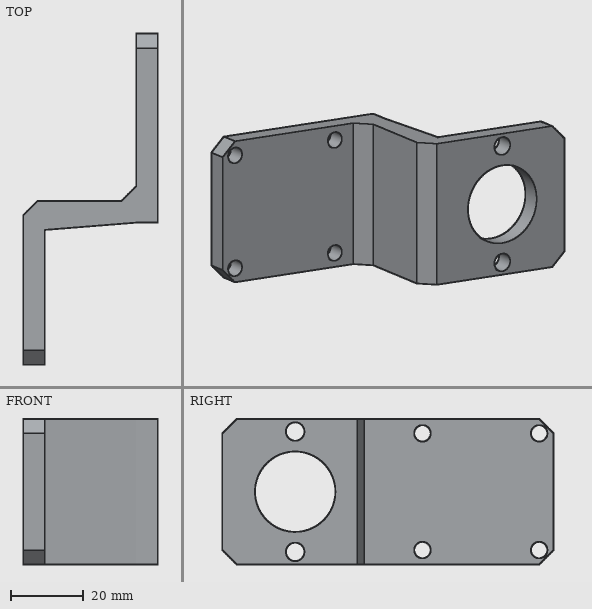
import cadquery as cq

width = 37.0
length = 91.0
height = 40.0

thickness = 6.0
chamfer = 4.0
rear_plate_length = 52.0
web_taper = 2.0

bore_diameter = 22.0
bore_y = 20.0
bore_screw_diameter = 5.0
bore_screw_spacing = 33.0

mount_hole_diameter = 4.5
mount_hole_spacing = 32.0
mount_hole_edge = 4.0

web_front_y = length - rear_plate_length
web_rear_y = web_front_y + thickness
rear_plate_x = width - thickness


def bracket_body():
    """Bent profile in plan, extruded to the full height."""
    return (
        cq.Workplane("XY")
        .moveTo(0, 0)
        .lineTo(thickness, 0)
        .lineTo(thickness, web_front_y - web_taper)
        .lineTo(rear_plate_x, web_front_y)
        .lineTo(width, web_front_y)
        .lineTo(width, length)
        .lineTo(rear_plate_x, length)
        .lineTo(rear_plate_x, web_rear_y + chamfer)
        .lineTo(rear_plate_x - chamfer, web_rear_y)
        .lineTo(chamfer, web_rear_y)
        .lineTo(0, web_rear_y - chamfer)
        .close()
        .extrude(height)
    )


def plate_holes(x, points, diameter):
    """Cylinders along X that pass through the plate whose left face is at x."""
    return (
        cq.Workplane("YZ", origin=(x, 0, height / 2))
        .pushPoints(points)
        .circle(diameter / 2)
        .extrude(thickness)
    )


result = bracket_body()

for end_face in ("<Y", ">Y"):
    result = result.faces(end_face).edges("|X").chamfer(chamfer)

screw_points = [(bore_y, side * bore_screw_spacing / 2) for side in (-1, 1)]
result = result.cut(plate_holes(0, [(bore_y, 0)], bore_diameter))
result = result.cut(plate_holes(0, screw_points, bore_screw_diameter))

mount_center_y = length - mount_hole_edge - mount_hole_spacing / 2
mount_points = [
    (mount_center_y + y_side * mount_hole_spacing / 2, z_side * mount_hole_spacing / 2)
    for y_side in (-1, 1)
    for z_side in (-1, 1)
]
result = result.cut(plate_holes(rear_plate_x, mount_points, mount_hole_diameter))